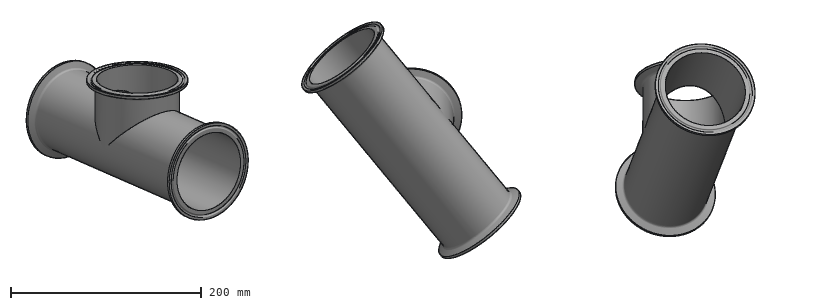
import cadquery as cq
import math

RUN_LENGTH = 240.0
BRANCH_HEIGHT = 68.5
TUBE_DIAMETER = 89.0
BORE_DIAMETER = 85.2

FLANGE_DIAMETER = 106.0
RIM_THICKNESS = 3.0
BACK_ANGLE = 20.0
NECK_RADIUS = 2.5

GROOVE_DIAMETER = 97.5
GROOVE_WIDTH = 3.0
GROOVE_DEPTH = 1.2
GROOVE_LIP_RADIUS = 0.7

tube_radius = TUBE_DIAMETER / 2
flange_radius = FLANGE_DIAMETER / 2
groove_radius = GROOVE_DIAMETER / 2
cone_length = (flange_radius - tube_radius) * math.tan(math.radians(BACK_ANGLE))


def leg_body(length):
    """Solid leg along +Z from the tee centre, with its ferrule at z = length."""
    rim_base = length - RIM_THICKNESS
    cone_base = rim_base - cone_length
    leg = (
        cq.Workplane("XZ")
        .moveTo(0, 0)
        .lineTo(tube_radius, 0)
        .lineTo(tube_radius, cone_base)
        .lineTo(flange_radius, rim_base)
        .lineTo(flange_radius, length)
        .lineTo(0, length)
        .close()
        .revolve(360, (0, 0, 0), (0, 1, 0))
    )
    leg = leg.faces("%CONE").edges("%CIRCLE").edges("<Z").fillet(NECK_RADIUS)

    half_width = GROOVE_WIDTH / 2
    groove = (
        cq.Workplane("XZ")
        .moveTo(groove_radius - half_width, length)
        .threePointArc(
            (groove_radius, length - GROOVE_DEPTH),
            (groove_radius + half_width, length),
        )
        .close()
        .revolve(360, (0, 0, 0), (0, 1, 0))
    )
    leg = leg.cut(groove)
    lip_radii = (groove_radius - half_width, groove_radius + half_width)
    lips = leg.edges("%CIRCLE").filter(
        lambda edge: any(math.isclose(edge.radius(), lip) for lip in lip_radii)
    )
    return lips.fillet(GROOVE_LIP_RADIUS)


half_run = leg_body(RUN_LENGTH / 2)
branch = leg_body(BRANCH_HEIGHT)
body = branch
for turn in (-90, 90):
    body = body.union(half_run.rotate((0, 0, 0), (0, 1, 0), turn))

run_bore = cq.Workplane("YZ").circle(BORE_DIAMETER / 2).extrude(RUN_LENGTH / 2, both=True)
branch_bore = cq.Workplane("XY").circle(BORE_DIAMETER / 2).extrude(BRANCH_HEIGHT)

result = body.cut(run_bore).cut(branch_bore)